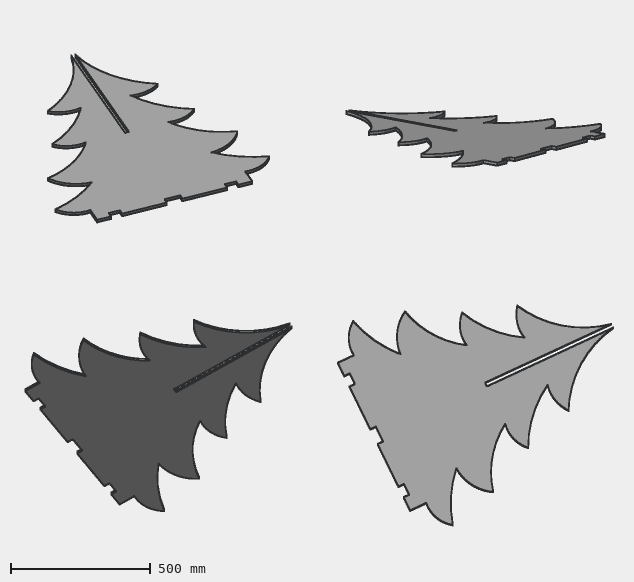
import cadquery as cq

thickness = 12.0
tree_length = 944.47
tree_width = 828.63

slot_length = 500.3
slot_width = 15.0

foot_half_width = 300.4
foot_start_x = 880.5

notch_depth = 22.0
centre_notch_width = 60.0
side_notch_width = 43.0
side_notch_offset = 225.0

treetop = (0.0, slot_width / 2)
branch_tips = [(275.0, 213.2), (463.9, 274.9), (646.3, 367.0), (829.0, tree_width / 2)]
branch_roots = [(302.2, 96.0), (slot_length, 159.4), (728.5, 231.8), (foot_start_x, foot_half_width)]
hollow_radii = [386.0, 404.0, 336.0, 430.0]
bowed_radii = [139.0, 125.0, 164.0, 121.0]


def mirrored(point):
    """Reflect a point across the centreline."""
    return (point[0], -point[1])


def tree_panel():
    """Flat panel with the whole branch outline and the plain trunk end."""
    outline = cq.Workplane("XY").moveTo(*treetop)
    for tip, root, hollow, bowed in zip(branch_tips, branch_roots, hollow_radii, bowed_radii):
        outline = outline.radiusArc(tip, -hollow).radiusArc(root, bowed)

    outline = (
        outline.lineTo(tree_length, foot_half_width)
        .lineTo(tree_length, -foot_half_width)
        .lineTo(*mirrored(branch_roots[-1]))
    )

    preceding_roots = [treetop] + branch_roots[:-1]
    branches = list(zip(branch_tips, preceding_roots, hollow_radii, bowed_radii))
    for tip, root, hollow, bowed in reversed(branches):
        outline = outline.radiusArc(mirrored(tip), bowed).radiusArc(mirrored(root), -hollow)
    return outline.close().extrude(thickness)


def centre_slot():
    """Slot cutter running from the treetop along the centreline."""
    return cq.Workplane("XY").box(slot_length, slot_width, thickness, centered=(False, True, False))


def end_notch(centre_y, width):
    """Notch cutter in the trunk end."""
    return (
        cq.Workplane("XY")
        .box(notch_depth, width, thickness, centered=(False, True, False))
        .translate((tree_length - notch_depth, centre_y, 0))
    )


result = tree_panel().cut(centre_slot()).cut(end_notch(0, centre_notch_width))
for side in (-1, 1):
    result = result.cut(end_notch(side * side_notch_offset, side_notch_width))